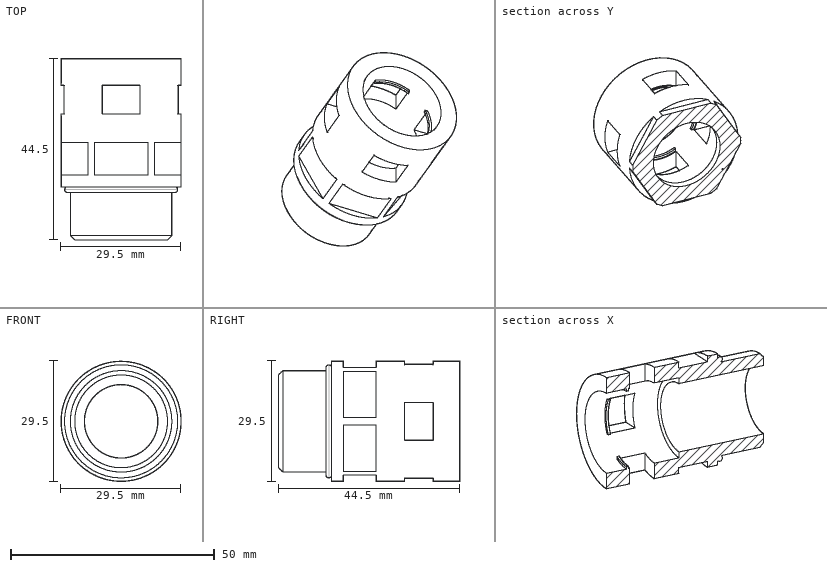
import cadquery as cq

length = 44.5
body_radius = 14.75
body_front = 13.0
spigot_radius = 12.45
spigot_chamfer = 1.05
bore_radius = 9.0
socket_radius = 10.55
socket_front = 24.0
ring_section_radius = 0.75
ring_mid = 12.35
ring_outer_radius = 13.9
lip_radius = 9.95
lip_front = 38.23
lip_length = 0.65
hex_front = 15.95
hex_back = 24.0
hex_across_flats = 26.45
window_front = 30.95
window_back = 37.95
window_width = 9.15


def cylinder(radius, start, end):
    """Solid cylinder along Y from start to end."""
    return cq.Workplane("XZ", origin=(0, start, 0)).circle(radius).extrude(start - end)


def sealing_ring():
    """Round ring sunk into the spigot and shoulder, with the corner behind it filled."""
    ring_mid_radius = ring_outer_radius - ring_section_radius
    ring = (
        cq.Workplane("XY")
        .center(ring_mid_radius, ring_mid)
        .circle(ring_section_radius)
        .revolve(360, (-ring_mid_radius, 0), (-ring_mid_radius, 1))
    )
    return ring.union(cylinder(ring_mid_radius, ring_mid, body_front))


def hex_flat_cutter():
    """Material outside the hexagon, which has flats facing +Z and -Z."""
    hex_length = hex_back - hex_front
    flat_turn = 30
    hexagon = (
        cq.Workplane("XZ", origin=(0, hex_front, 0))
        .polygon(6, hex_across_flats, circumscribed=True)
        .extrude(-hex_length)
        .rotate((0, 0, 0), (0, 1, 0), flat_turn)
    )
    return cylinder(2 * body_radius, hex_front, hex_back).cut(hexagon)


def crossed_bars(start, end):
    """Two bars of window width crossing on the axis, from start to end along Y."""
    bar_span = 3 * body_radius
    upright = cq.Workplane("XY").box(window_width, end - start, bar_span)
    sideways = cq.Workplane("XY").box(bar_span, end - start, window_width)
    return upright.union(sideways).translate((0, (start + end) / 2, 0))


def window_lips():
    """Four short lips inside the socket, one behind each window and as wide as it."""
    lip_back = lip_front + lip_length
    wall_middle_radius = (socket_radius + body_radius) / 2
    ring = cylinder(wall_middle_radius, lip_front, lip_back).cut(cylinder(lip_radius, lip_front, lip_back))
    return ring.intersect(crossed_bars(lip_front, lip_back))


spigot = cylinder(spigot_radius, 0, body_front).faces("<Y").chamfer(spigot_chamfer)
body = cylinder(body_radius, body_front, length).cut(hex_flat_cutter())

result = (
    body.union(spigot)
    .union(sealing_ring())
    .cut(cylinder(bore_radius, 0, length))
    .cut(cylinder(socket_radius, socket_front, length))
    .cut(crossed_bars(window_front, window_back))
    .union(window_lips())
)